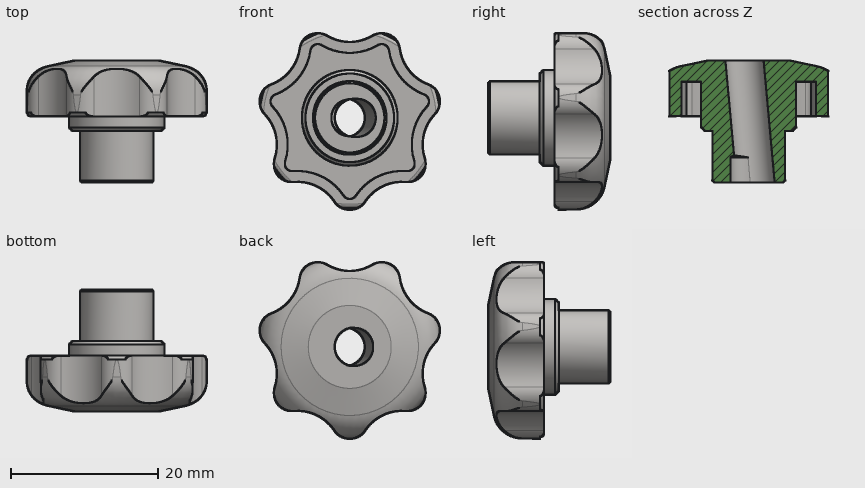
import cadquery as cq
import math


lobe_count = 7
lobe_tip_radius = 12.5
lobe_round = 2.5
scallop_depth_radius = 10.31
grip_depth = 7.6
back_flat_radius = 5.64
crown_angle = 12.5
shoulder_round = 4.0
shoulder_depth = 4.68
shoulder_radius = 12.45
rim_round = 0.51
rim_radius = 12.25

wall = 1.5
pocket_depth = 4.65

collar_diameter = 13.0
collar_depth = 9.6
collar_chamfer = 0.5
hub_diameter = 10.0
hub_end_chamfer = 0.3
total_depth = 16.6

straight_bore_diameter = 5.0
straight_bore_depth = 3.43
drill_point_angle = 118.0
tilted_bore_diameter = 5.2
tilt_angle = 5.2
tilt_crossing_depth = 6.37
overrun = 2.45


def polar(radius, angle):
    """Point in the lobe plane; the angle is in radians."""
    return radius * math.cos(angle), radius * math.sin(angle)


def lobe_prism(inset, start_depth, end_depth):
    """Prism of the lobed outline moved inward by inset, between two depths."""
    half_pitch = math.pi / lobe_count
    lobe_center = lobe_tip_radius - lobe_round
    along = lobe_center * math.cos(half_pitch)
    across = lobe_center * math.sin(half_pitch)
    gap = scallop_depth_radius - along
    scallop_round = (across**2 + gap**2 - lobe_round**2) / (2 * (lobe_round - gap))
    scallop_center = scallop_depth_radius + scallop_round
    contact_angle = math.asin(across / (scallop_round + lobe_round))
    cut_round = scallop_round + inset

    def scallop_point(mid, turn):
        center_x, center_z = polar(scallop_center, mid)
        offset_x, offset_z = polar(cut_round, mid + math.pi + turn)
        return center_x + offset_x, center_z + offset_z

    first = math.pi / 2
    outline = cq.Workplane("XZ", origin=(0, -start_depth, 0))
    outline = outline.moveTo(*scallop_point(first, contact_angle))
    for i in range(lobe_count):
        mid = first + 2 * half_pitch * i
        following = mid + 2 * half_pitch
        outline = outline.threePointArc(scallop_point(mid, 0), scallop_point(mid, -contact_angle))
        lobe_tip = polar(lobe_tip_radius - inset, mid + half_pitch)
        outline = outline.threePointArc(lobe_tip, scallop_point(following, contact_angle))
    return outline.close().extrude(end_depth - start_depth)


def revolve_about_y(profile):
    return profile.close().revolve(360, (0, 0, 0), (0, 1, 0))


def grip_envelope():
    """Domed turned shape that trims the lobes at the back and at the rim."""
    slope = math.radians(crown_angle)
    round_center = (shoulder_radius - shoulder_round, -shoulder_depth)

    def round_point(angle):
        x, y = polar(shoulder_round, angle)
        return round_center[0] + x, round_center[1] + y

    rim_center = (rim_radius - rim_round, rim_round - grip_depth)
    rim_step = rim_round * math.sqrt(0.5)
    rim_middle = (rim_center[0] + rim_step, rim_center[1] - rim_step)
    crown_end = math.pi / 2 - slope
    profile = (
        cq.Workplane("XY")
        .lineTo(back_flat_radius, 0)
        .lineTo(*round_point(crown_end))
        .threePointArc(round_point(crown_end / 2), round_point(0))
        .lineTo(lobe_tip_radius, rim_center[1])
        .lineTo(rim_radius, rim_center[1])
        .threePointArc(rim_middle, (rim_center[0], -grip_depth))
        .lineTo(0, -grip_depth)
    )
    return revolve_about_y(profile)


def hub():
    """Collar rising from the pocket floor, then the narrower hub."""
    collar_radius = collar_diameter / 2
    hub_radius = hub_diameter / 2
    floor_depth = grip_depth - pocket_depth
    profile = (
        cq.Workplane("XY")
        .moveTo(0, -floor_depth)
        .lineTo(collar_radius, -floor_depth)
        .lineTo(collar_radius, collar_chamfer - collar_depth)
        .lineTo(collar_radius - collar_chamfer, -collar_depth)
        .lineTo(hub_radius, -collar_depth)
        .lineTo(hub_radius, hub_end_chamfer - total_depth)
        .lineTo(hub_radius - hub_end_chamfer, -total_depth)
        .lineTo(0, -total_depth)
    )
    return revolve_about_y(profile)


def straight_bore():
    """Blind bore from the hub end, on the axis, with a drill point."""
    radius = straight_bore_diameter / 2
    point_length = radius / math.tan(math.radians(drill_point_angle / 2))
    bottom = straight_bore_depth - total_depth
    profile = (
        cq.Workplane("XY")
        .moveTo(0, -total_depth)
        .lineTo(radius, -total_depth)
        .lineTo(radius, bottom)
        .lineTo(0, bottom + point_length)
    )
    return revolve_about_y(profile)


def tilted_bore():
    """Through bore leaning toward +X at the hub end."""
    crossing = (0, -tilt_crossing_depth, 0)
    half_length = total_depth + overrun
    bore = cq.Workplane("XZ", origin=crossing).circle(tilted_bore_diameter / 2)
    bore = bore.extrude(half_length, both=True)
    above_crossing = (0, -tilt_crossing_depth, 1)
    return bore.rotate(crossing, above_crossing, tilt_angle)


grip = lobe_prism(0, 0, grip_depth).intersect(grip_envelope())
grip = grip.cut(lobe_prism(wall, grip_depth - pocket_depth, grip_depth + overrun))
result = grip.union(hub()).cut(straight_bore()).cut(tilted_bore())